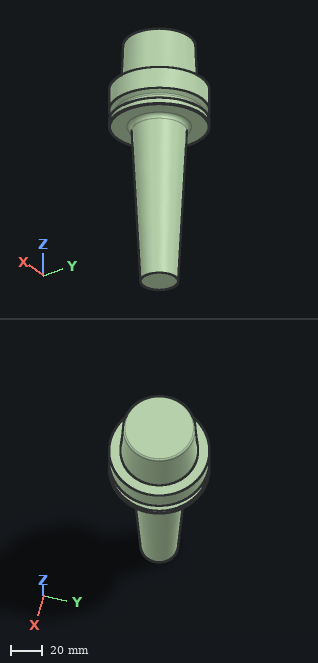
import cadquery as cq
import math

total_length = 167.0
flange_diameter = 63.0

spigot_height = 32.0
spigot_top_radius = 22.7
spigot_base_radius = 24.4
spigot_flank_hollow = 0.2
rim_round = 1.2

flange_height = 26.0
groove_offset = 14.7
groove_width = 7.0
groove_depth = 3.8
groove_flank_angle = 30
groove_corner_round = 1.0
edge_chamfer = 0.5

shank_top_radius = 17.4
shank_tip_radius = 11.9
neck_round = 2.8

flange_radius = flange_diameter / 2
flange_top = total_length - spigot_height
flange_bottom = flange_top - flange_height
groove_top = flange_top - groove_offset
groove_bottom = groove_top - groove_width
groove_radius = flange_radius - groove_depth
groove_flank_height = groove_depth * math.tan(math.radians(groove_flank_angle))
rim_bottom = total_length - rim_round
neck_bottom = flange_bottom - neck_round

flank_middle = (
    (spigot_top_radius + spigot_base_radius) / 2 - spigot_flank_hollow,
    (flange_top + rim_bottom) / 2,
)

diagonal = math.sqrt(0.5)
rim_middle = (
    spigot_top_radius - rim_round * (1 - diagonal),
    rim_bottom + rim_round * diagonal,
)
neck_middle = (
    shank_top_radius + neck_round * (1 - diagonal),
    neck_bottom + neck_round * diagonal,
)

profile = (
    cq.Workplane("XZ")
    .lineTo(shank_tip_radius, 0)
    .lineTo(shank_top_radius, neck_bottom)
    .threePointArc(neck_middle, (shank_top_radius + neck_round, flange_bottom))
    .lineTo(flange_radius - edge_chamfer, flange_bottom)
    .lineTo(flange_radius, flange_bottom + edge_chamfer)
    .lineTo(flange_radius, groove_bottom)
    .lineTo(groove_radius, groove_bottom + groove_flank_height)
    .lineTo(groove_radius, groove_top - groove_flank_height)
    .lineTo(flange_radius, groove_top)
    .lineTo(flange_radius, flange_top)
    .lineTo(spigot_base_radius, flange_top)
    .threePointArc(flank_middle, (spigot_top_radius, rim_bottom))
    .threePointArc(rim_middle, (spigot_top_radius - rim_round, total_length))
    .lineTo(0, total_length)
    .close()
)

body = profile.revolve(360, (0, 0, 0), (0, 1, 0))

groove_corners = cq.selectors.BoxSelector(
    (-flange_radius, -flange_radius, groove_bottom + groove_flank_height / 2),
    (flange_radius, flange_radius, groove_top - groove_flank_height / 2),
    boundingbox=True,
)
result = body.edges("%CIRCLE").edges(groove_corners).fillet(groove_corner_round)